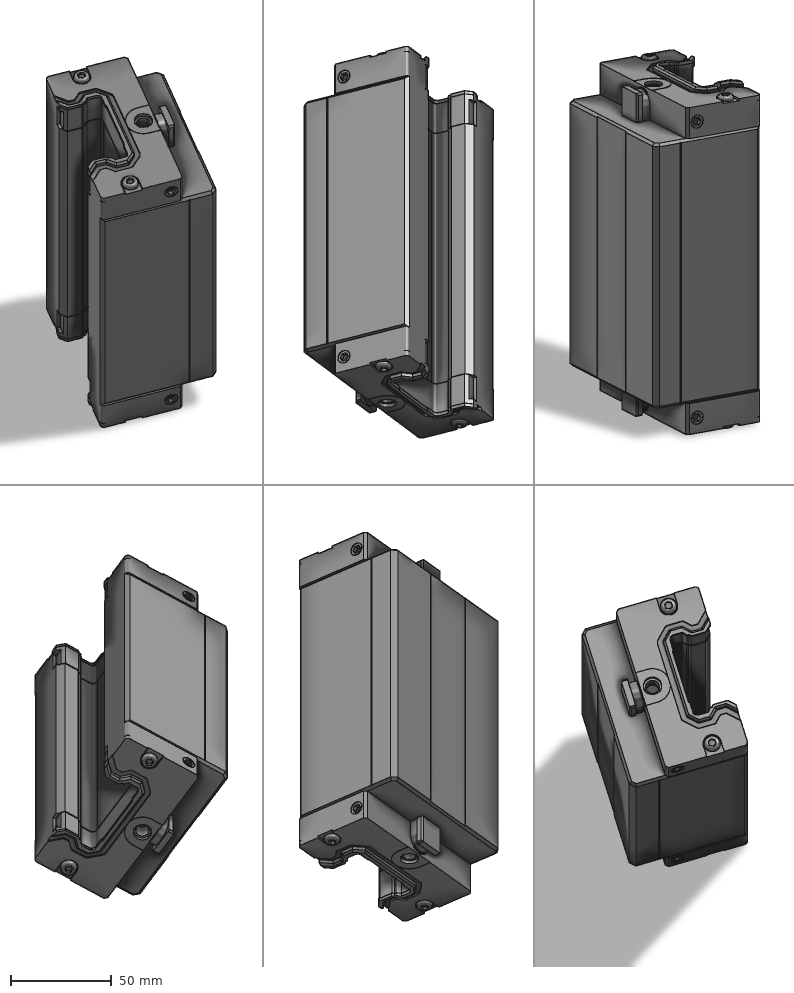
import cadquery as cq
import math

width = 86.0
height = 61.0
length = 174.0
body_end = 69.0
top_chamfer = 2.6
bottom_chamfer = 2.0
end_chamfer = 1.4
top_relief_width = 27.8
top_relief_depth = 0.3
side_groove_y = 46.3
side_groove_width = 0.5
side_groove_depth = 0.2

cap_face = 85.3
cap_top = 42.8
cap_top_chamfer = 1.4
cap_fillet = 1.7
face_plate_start = 82.5
face_plate_fillet = 2.0

mouth_half_width = 18.6
mouth_chamfer = 3.3
throat_top = 11.0
step_half_width = 19.7
step_bottom = 11.8
step_top = 12.9
groove_half_width = 21.8
groove_bottom = 14.6
lip_roof = 21.5
cap_roof = 22.3
roof_step = 0.2
body_roof = cap_roof + roof_step
roof_corner = 2.3
roof_groove_half_width = 19.0
cap_clearance = 0.2
body_clearance = 0.5

seal_recess_depth = 1.0
recess_mouth = 30.0
recess_throat = 24.2
recess_throat_top = 8.9
recess_groove = 27.8
recess_groove_top = 21.4
recess_roof = 28.0
recess_corner = 2.6

lip_mouth = 26.0
lip_throat = 21.0
lip_throat_top = 10.0
lip_groove = 25.0
lip_groove_top = 20.4
lip_outer_roof = 25.0
lip_bevel = 1.0
lip_bevel_angle = 45
lip_trim = 3.5
lip_relief_width = top_relief_width
lip_relief_roof = cap_roof - roof_step

notch_half_width = 25.0
notch_depth = 1.7
notch_end = face_plate_start

screw_x = 37.2
screw_y = 17.0
screw_head = 8.0
screw_flat = 4.4
screw_top = 86.7
screw_socket = 4.0
screw_socket_depth = 1.4
screw_slot_width = 9.0
screw_slot_depth = 1.0

port_y = 36.7
port_bore = 6.8
port_depth = 10.5
port_counterbore = 9.0
port_counterbore_depth = 2.1
pad_radius = 8.9
pad_depth = 0.2

side_port_z = 77.3
side_port_diameter = 6.8
side_port_depth = 0.3
side_socket = 4.5
side_socket_depth = 2.6

plug_z = 76.5
stem_diameter = 14.0
collar_diameter = 15.1
collar_width = 9.0
collar_height = 0.5
plug_head_width = 15.3
plug_head_bottom = 47.5
plug_head_top = 50.8
plug_head_chamfer = 0.9


def symmetric_prism(right_half, z_start, z_stop, taper=0):
    """Extrude the outline made of a +X half and its mirror image."""
    outline = right_half + [(-x, y) for x, y in reversed(right_half)]
    plane = cq.Workplane("XY").workplane(offset=z_start)
    return plane.polyline(outline).close().extrude(z_stop - z_start, taper=taper)


def block(x_size, y_start, y_stop, z_start, z_stop, x_center=0):
    size = (x_size, y_stop - y_start, z_stop - z_start)
    solid = cq.Workplane("XY").box(*size, centered=(True, False, False))
    return solid.translate((x_center, y_start, z_start))


def upright_cylinder(diameter, x, y, z_start, z_stop):
    plane = cq.Workplane("XY").workplane(offset=z_start)
    return plane.center(x, y).circle(diameter / 2).extrude(z_stop - z_start)


def channel(clearance, roof, corner, z_start, z_stop):
    """Rail channel with a given roof height and roof corner radius, widened by a clearance."""
    half = [
        (mouth_half_width + mouth_chamfer, 0),
        (mouth_half_width, mouth_chamfer),
        (mouth_half_width, throat_top),
        (step_half_width, step_bottom),
        (step_half_width, step_top),
        (groove_half_width, groove_bottom),
        (groove_half_width, roof),
    ]
    widened = [(x + clearance, y) for x, y in half]
    return symmetric_prism(widened, z_start, z_stop).edges("|Z and >Y").fillet(corner)


def body():
    half = width / 2
    right_half = [
        (half - bottom_chamfer, 0),
        (half, bottom_chamfer),
        (half, height - top_chamfer),
        (half - top_chamfer, height),
    ]
    solid = symmetric_prism(right_half, -body_end, body_end)
    outer_edges = solid.faces("|Z").edges().filter(lambda edge: edge.Center().y > bottom_chamfer)
    solid = outer_edges.chamfer(end_chamfer)
    solid = solid.cut(channel(body_clearance, cap_roof, roof_corner, -body_end, body_end))
    solid = solid.cut(block(2 * roof_groove_half_width, 0, body_roof, -body_end, body_end))
    solid = solid.cut(block(top_relief_width, height - top_relief_depth, height, -body_end, body_end))
    for side in (-1, 1):
        groove = block(
            2 * side_groove_depth,
            side_groove_y - side_groove_width / 2,
            side_groove_y + side_groove_width / 2,
            -body_end,
            body_end,
            side * half,
        )
        solid = solid.cut(groove)
    return solid


def cap_slice(fillet, z_start, z_stop):
    solid = block(width, 0, cap_top, z_start, z_stop)
    solid = solid.edges("|Z and >Y").chamfer(cap_top_chamfer)
    return solid.edges("|Z and <Y").fillet(fillet)


def cap_block():
    """Cap housing with its face plate, whose lower corners are slightly rounder."""
    housing = cap_slice(cap_fillet, body_end, face_plate_start)
    face_plate = cap_slice(face_plate_fillet, face_plate_start, cap_face)
    solid = housing.union(face_plate)
    return solid.cut(channel(cap_clearance, cap_roof, roof_corner, body_end, cap_face))


def seal_half_outline(mouth, throat, throat_end, groove, groove_end, roof, start=0):
    """+X half of a seal outline; every slope runs at 45 degrees."""
    return [
        (mouth - start, start),
        (throat, mouth - throat),
        (throat, throat_end),
        (groove, throat_end + groove - throat),
        (groove, groove_end),
        (groove - (roof - groove_end), roof),
    ]


def seal_recess():
    half = seal_half_outline(
        recess_mouth, recess_throat, recess_throat_top, recess_groove, recess_groove_top, recess_roof
    )
    recess = symmetric_prism(half, cap_face - seal_recess_depth, cap_face)
    upper_corners = recess.edges("|Z").filter(lambda edge: edge.Center().y > lip_groove_top)
    return upper_corners.fillet(recess_corner)


def seal_lip():
    """Bevelled lip; it starts below Y = 0 and is trimmed so that the open side stays square."""
    half = seal_half_outline(
        lip_mouth, lip_throat, lip_throat_top, lip_groove, lip_groove_top, lip_outer_roof, -lip_trim
    )
    base = cap_face - seal_recess_depth
    bevel_start = length / 2 - lip_bevel
    lip = symmetric_prism(half, base, bevel_start)
    lip = lip.union(symmetric_prism(half, bevel_start, length / 2, taper=lip_bevel_angle))
    lip = lip.intersect(block(width, 0, cap_top, base, length / 2))
    lip = lip.cut(channel(cap_clearance, cap_roof, roof_corner, base, cap_face))
    lip = lip.cut(channel(0, lip_roof, roof_corner, cap_face, length / 2))
    return lip.cut(block(lip_relief_width, 0, lip_relief_roof, cap_face, length / 2))


def clip_notches():
    return block(2 * notch_half_width, 0, notch_depth, body_end, notch_end)


def screw_slot(side):
    floor = cap_face - screw_slot_depth
    slot = upright_cylinder(screw_slot_width, side * screw_x, screw_y, floor, cap_face)
    run_out = width / 2 - screw_x
    half_slot = screw_slot_width / 2
    opening = block(
        run_out, screw_y - half_slot, screw_y + half_slot, floor, cap_face, side * (screw_x + run_out / 2)
    )
    return slot.union(opening)


def screw(side):
    """Button head with a hexagon socket."""
    floor = cap_face - screw_slot_depth
    rim = screw_head / 2
    flat = screw_flat / 2
    halfway = math.sin(math.radians(45))
    bulge = (flat + (rim - flat) * halfway, cap_face + (screw_top - cap_face) * halfway)
    profile = cq.Workplane("XZ").moveTo(0, floor).lineTo(rim, floor).lineTo(rim, cap_face)
    profile = profile.threePointArc(bulge, (flat, screw_top)).lineTo(0, screw_top).close()
    head = profile.revolve(360, (0, 0), (0, 1))
    socket = cq.Workplane("XY").workplane(offset=screw_top - screw_socket_depth)
    socket = socket.polygon(6, screw_socket).extrude(screw_socket_depth)
    return head.cut(socket).translate((side * screw_x, screw_y, 0))


def port_pad():
    floor = cap_face - pad_depth
    pad = upright_cylinder(2 * pad_radius, 0, port_y, floor, cap_face)
    return pad.union(block(2 * pad_radius, port_y, cap_top, floor, cap_face))


def end_port():
    bore = upright_cylinder(port_bore, 0, port_y, cap_face - port_depth, cap_face)
    counterbore_floor = cap_face - port_counterbore_depth
    return bore.union(upright_cylinder(port_counterbore, 0, port_y, counterbore_floor, cap_face))


def side_port(side):
    plane = cq.Workplane("YZ", origin=(side * width / 2, port_y, side_port_z))
    recess = plane.circle(side_port_diameter / 2).extrude(-side * side_port_depth)
    return recess.union(plane.polygon(6, side_socket).extrude(-side * side_socket_depth))


def plug_post(diameter, y_start, y_stop):
    """Round-topped post that runs down onto the carriage body."""
    plane = cq.Workplane("XZ", origin=(0, y_start, plug_z))
    rounded = plane.circle(diameter / 2).extrude(y_start - y_stop)
    rounded = rounded.intersect(block(diameter, y_start, y_stop, plug_z, length / 2))
    return rounded.union(block(diameter, y_start, y_stop, body_end, plug_z))


def lubrication_plug():
    plug = plug_post(stem_diameter, cap_top, plug_head_bottom)
    collar = plug_post(collar_diameter, cap_top, cap_top + collar_height)
    plug = plug.union(collar.intersect(block(collar_width, 0, height, body_end, length / 2)))
    head_end = plug_z + plug_head_width / 2
    head = block(plug_head_width, plug_head_bottom, plug_head_top, body_end, head_end)
    head = head.edges("|Y and >Z").chamfer(plug_head_chamfer)
    head = head.edges("|Z and >Y").chamfer(plug_head_chamfer)
    return plug.union(head)


def end_cap():
    cap = cap_block()
    cap = cap.cut(seal_recess()).union(seal_lip())
    cap = cap.cut(clip_notches())
    cap = cap.cut(port_pad()).cut(end_port())
    for side in (-1, 1):
        cap = cap.cut(screw_slot(side)).union(screw(side))
        cap = cap.cut(side_port(side))
    return cap.union(lubrication_plug())


upper_cap = end_cap()
result = body().union(upper_cap).union(upper_cap.mirror("XY"))